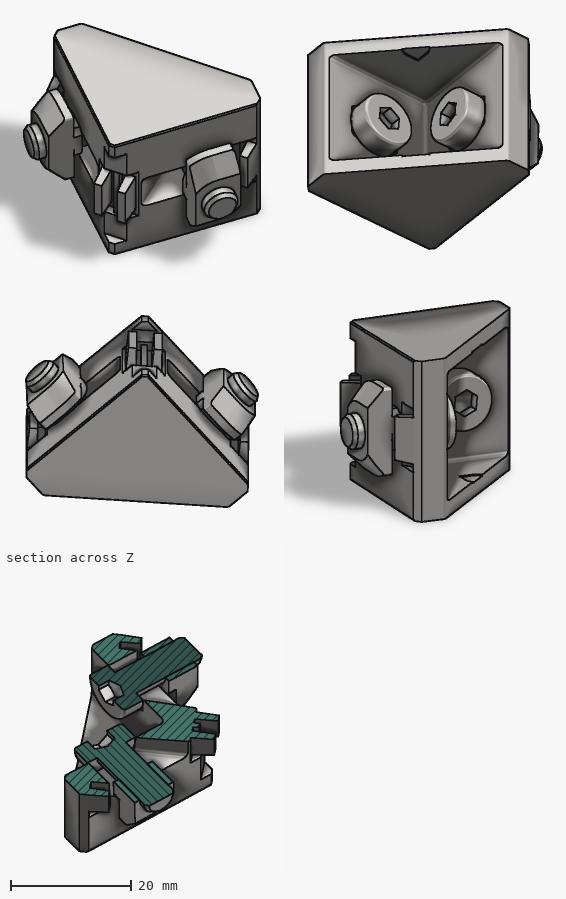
import cadquery as cq
import math


leg = 27.2
height = 28.0
tip_face = 5.35
tip_chamfer = 1.1
corner_chamfer = 0.77
mating_edge_chamfer = 0.25
slope_edge_radius = 1.0
draft_angle = 0.5

wall = 6.0
pocket_half_height = 11.23
pocket_radius = 0.88
pocket_overrun = 7.05
latch_radius = 2.3
latch_half_height = 11.45

notch = 2.92
notch_half_height = 10.95
recess_half_height = 5.5
recess_start_outer = leg - tip_chamfer
recess_start_inner = 5.07
recess_floor_run = 2.15
recess_wall_draft = 0.2
ridge_depth = 3.63
tab_start_outer = recess_start_outer
tab_start_inner = 4.25
tab_base = 2.43
tab_tip_inset_outer = 0.28
tab_tip_inset_inner = 0.2
tab_reach = 2.35
tab_base_half_height = 4.05
tab_tip_half_height = 3.75

axis_offset = 16.95
slot_half_height = 3.52
slot_inner_half_height = 3.25
slot_half_width = 4.8
slot_mouth = 5.55
slot_radius = 1.0

thread_diameter = 6.0
head_diameter = 10.0
head_height = 4.05
head_edge_radius = 0.65
screw_reach = 8.0
tip_diameter = 4.93
tip_chamfer_length = 0.7
hex_across_flats = 4.0
hex_depth = 2.0
hex_cone_depth = 0.88
hex_turn = 35.0

nut_half_width = 4.0
nut_length = 16.0
neck_height = 1.48
nut_bottom = 6.0
nut_bevel = 3.0
nut_corner_radius = 0.53
neck_corner_chamfer = 1.05
front_nut_turn = 1.1

slope_offset = leg + tip_face
slope_distance = slope_offset / math.sqrt(2)
slope_middle = slope_offset / 2
half_height = height / 2
nut_half_length = nut_length / 2
hex_circumdiameter = hex_across_flats / math.cos(math.radians(30))

MIRROR_NORMAL = cq.Vector(1, 1, 0)
DIAGONAL_PLANE = cq.Plane(origin=(0, 0, 0), xDir=(-1, 1, 0), normal=(1, 1, 0))


def prism(points, half):
    """Upright prism over an XY outline, centred on z = 0."""
    return cq.Workplane("XY").polyline(points).close().extrude(half, both=True)


def with_mirror(shape):
    """The shape together with its mirror image on the other leg."""
    return shape.union(cq.Workplane(shape.val().mirror(MIRROR_NORMAL)))


def draft_wedge(half_at_slope):
    """Block whose top and bottom close in from the sloping face towards the corner edge."""
    start = -leg
    end = 2 * slope_distance
    slope = math.tan(math.radians(draft_angle))
    half_start = half_at_slope - (slope_distance - start) * slope
    half_end = half_at_slope + (end - slope_distance) * slope
    outline = [(start, -half_start), (end, -half_end), (end, half_end), (start, half_start)]
    return cq.Workplane(DIAGONAL_PLANE).polyline(outline).close().extrude(2 * leg, both=True)


def make_block():
    outline = [
        (-corner_chamfer, 0),
        (-leg + tip_chamfer, 0),
        (-leg, tip_chamfer),
        (-leg, tip_face),
        (-tip_face, leg),
        (-tip_chamfer, leg),
        (0, leg - tip_chamfer),
        (0, corner_chamfer),
    ]
    block = prism(outline, height)
    for x, y in [(-leg, tip_face), (-tip_face, leg)]:
        block = block.edges(cq.selectors.NearestToPointSelector((x, y, 0))).fillet(slope_edge_radius)
    block = block.intersect(draft_wedge(half_height))
    mating_edges = block.faces("<Y or >X or >(1,-1,0)").edges("not |Z")
    return mating_edges.chamfer(mating_edge_chamfer)


def make_pocket():
    far = slope_offset - wall + pocket_overrun
    pocket = prism([(-wall, wall), (-wall, far), (-far, wall)], height)
    pocket = pocket.intersect(draft_wedge(pocket_half_height))
    return pocket.edges().fillet(pocket_radius)


def make_latch_recess():
    """Teardrop recess in both side walls, centred on the sloping face and pointing to the corner."""
    centre = (-slope_middle, slope_middle)
    rounded = cq.Workplane("XY").center(*centre).circle(latch_radius)
    rounded = rounded.extrude(latch_half_height, both=True)
    point = cq.Workplane("XY").center(*centre).rect(latch_radius, -latch_radius, centered=False)
    return rounded.union(point.extrude(latch_half_height, both=True))


def make_recess(start):
    """V-shaped recess: a floor facing the corner diagonal and a wall along that diagonal."""
    deep_x = -start + recess_floor_run
    outline = [
        (-start, 0),
        (deep_x, recess_floor_run),
        (deep_x + recess_floor_run + recess_wall_draft, 0),
    ]
    return prism(outline, recess_half_height)


def make_corner_cuts():
    notch_cut = prism([(-notch, 0), (0, notch), (0, 0)], notch_half_height)
    ridge_cut = prism([(-ridge_depth, 0), (0, ridge_depth), (0, 0)], recess_half_height)
    return notch_cut.union(ridge_cut)


def make_slot():
    """Screw slot through one wall, lower on the pocket side and wider at its mouth."""
    left = -axis_offset - slot_half_width
    right = -axis_offset + slot_half_width
    slot = prism([(left, 0), (-slot_mouth, 0), (right, wall), (left, wall)], slot_half_height)
    taper = [
        (0, -slot_half_height),
        (wall, -slot_inner_half_height),
        (wall, slot_inner_half_height),
        (0, slot_half_height),
    ]
    slot = slot.intersect(cq.Workplane("YZ").polyline(taper).close().extrude(-leg))
    return slot.edges("not (|X or |Z)").fillet(slot_radius)


def make_tab(start, floor_start):
    """Tab leaning along the diagonal, rooted on the floor of its recess and narrowing to its end."""
    tip_outer = (-start + tab_reach + tab_tip_inset_outer, -tab_reach)
    tip_width = tab_base - tab_tip_inset_outer - tab_tip_inset_inner
    tip_inner = (tip_outer[0] + tip_width / 2, tip_outer[1] + tip_width / 2)
    root_outer_rise = (floor_start - start) / 2
    root_inner_rise = root_outer_rise + tab_base / 2
    outline = [
        (-floor_start + root_outer_rise, root_outer_rise),
        tip_outer,
        tip_inner,
        (-floor_start + root_inner_rise, root_inner_rise),
    ]
    tab = prism(outline, tab_base_half_height)
    base_distance = start / math.sqrt(2)
    tip_distance = base_distance - math.sqrt(2) * tab_reach
    taper = [
        (tip_distance, -tab_tip_half_height),
        (base_distance, -tab_base_half_height),
        (base_distance + tab_base, -tab_base_half_height),
        (base_distance + tab_base, tab_base_half_height),
        (base_distance, tab_base_half_height),
        (tip_distance, tab_tip_half_height),
    ]
    envelope = cq.Workplane(DIAGONAL_PLANE).polyline(taper).close().extrude(2 * leg, both=True)
    return tab.intersect(envelope)


def make_bracket():
    bracket = make_block().cut(make_pocket()).cut(make_latch_recess())
    bracket = bracket.cut(make_corner_cuts()).cut(with_mirror(make_slot()))
    for start in (recess_start_outer, recess_start_inner):
        bracket = bracket.cut(with_mirror(make_recess(start)))
    for start, floor_start in [
        (tab_start_outer, recess_start_outer),
        (tab_start_inner, recess_start_inner),
    ]:
        bracket = bracket.union(with_mirror(make_tab(start, floor_start)))
    return bracket


def make_screw():
    """Low-head socket screw on the Z axis; z = 0 is the mating face and the tip points up."""
    thread_radius = thread_diameter / 2
    shank = cq.Workplane("XY").workplane(offset=-wall).circle(thread_radius).extrude(wall + screw_reach)
    tip_inset = (thread_diameter - tip_diameter) / 2
    shank = shank.faces(">Z").chamfer(tip_chamfer_length, tip_inset)
    head = cq.Workplane("XY").workplane(offset=-wall).circle(head_diameter / 2).extrude(-head_height)
    head = head.faces("<Z").edges().fillet(head_edge_radius)
    return shank.union(head).cut(make_hex_socket())


def make_hex_socket():
    """Hexagonal socket whose bottom is a drilled cone."""
    head_top = -wall - head_height
    cone_tip = hex_depth + hex_cone_depth
    hexagon = cq.Workplane("XY").workplane(offset=head_top).transformed(rotate=(0, 0, hex_turn))
    hexagon = hexagon.polygon(6, hex_circumdiameter).extrude(cone_tip)
    radius = hex_circumdiameter / 2
    bore_outline = [(0, 0), (radius, 0), (radius, hex_depth), (0, cone_tip)]
    bore = cq.Workplane("XZ").polyline(bore_outline).close().revolve(360, (0, 0), (0, 1))
    return hexagon.intersect(bore.translate((0, 0, head_top)))


def make_wings():
    """Nut wings: straight in two opposite quarters and round in the other two, with bevelled ends."""
    bevel_start = nut_bottom - nut_bevel
    end_length = nut_half_length - nut_bevel
    corner_y = math.sqrt(nut_half_length**2 - nut_half_width**2)
    mid_x = nut_half_length * math.sin(math.asin(nut_half_width / nut_half_length) / 2)
    mid_y = math.sqrt(nut_half_length**2 - mid_x**2)
    plan = (
        cq.Workplane("XY").workplane(offset=neck_height)
        .moveTo(0, nut_half_length)
        .lineTo(nut_half_width, nut_half_length)
        .lineTo(nut_half_width, -corner_y)
        .threePointArc((mid_x, -mid_y), (0, -nut_half_length))
        .lineTo(-nut_half_width, -nut_half_length)
        .lineTo(-nut_half_width, corner_y)
        .threePointArc((-mid_x, mid_y), (0, nut_half_length))
        .close()
        .extrude(nut_bottom - neck_height)
    )
    plan = plan.edges("|Z").edges("<X or >X").fillet(nut_corner_radius)

    profile = [
        (0, neck_height),
        (nut_half_length, neck_height),
        (nut_half_length, bevel_start),
        (end_length, nut_bottom),
        (0, nut_bottom),
    ]
    round_part = cq.Workplane("XZ").polyline(profile).close().revolve(360, (0, 0), (0, 1))
    straight_part = cq.Workplane("YZ").polyline(profile).close().extrude(nut_half_width)
    opposite_part = straight_part.rotate((0, 0, 0), (0, 0, 1), 180)
    return plan.intersect(round_part.union(straight_part).union(opposite_part))


def make_neck():
    """Nut neck: square, with two opposite corners fully round and the other two chamfered."""
    half = nut_half_width
    diagonal = half / math.sqrt(2)
    return (
        cq.Workplane("XY")
        .moveTo(0, half)
        .lineTo(half - neck_corner_chamfer, half)
        .lineTo(half, half - neck_corner_chamfer)
        .lineTo(half, 0)
        .threePointArc((diagonal, -diagonal), (0, -half))
        .lineTo(-half + neck_corner_chamfer, -half)
        .lineTo(-half, -half + neck_corner_chamfer)
        .lineTo(-half, 0)
        .threePointArc((-diagonal, diagonal), (0, half))
        .close()
        .extrude(neck_height)
    )


def make_nut():
    """Half-turn slot nut on the Z axis; z = 0 is the mating face."""
    bore = cq.Workplane("XY").circle(thread_diameter / 2).extrude(nut_bottom)
    return make_neck().union(make_wings()).cut(bore)


def place(part, leg_number, turn=0.0):
    """Turn a part about its own axis, then set it on the y = 0 leg (0) or the x = 0 leg (1)."""
    part = part.rotate((0, 0, 0), (0, 0, 1), turn)
    part = part.rotate((0, 0, 0), (1, 0, 0), 90)
    part = part.rotate((0, 0, 0), (0, 0, 1), 90 * leg_number)
    shifts = [(-axis_offset, 0, 0), (0, axis_offset, 0)]
    return part.translate(shifts[leg_number])


bracket = make_bracket()
screws = [place(make_screw(), number) for number in range(2)]
nuts = [place(make_nut(), number, turn) for number, turn in enumerate([front_nut_turn, 0.0])]

result = cq.Compound.makeCompound([
    bracket.val(),
    *[screw.val() for screw in screws],
    *[nut.val() for nut in nuts],
])